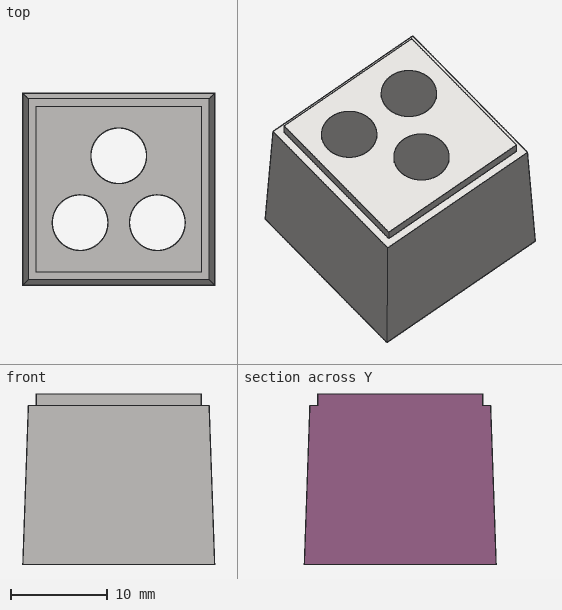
import cadquery as cq
import math

base_side = 19.9
body_height = 16.5
draft_angle = 2

step_side = 17.1
step_height = 1.2
total_height = body_height + step_height

hole_diameter = 5.74
hole_spacing = 8.0
triangle_height = hole_spacing * math.sqrt(3) / 2
hole_centres = [
    (-hole_spacing / 2, -triangle_height / 2),
    (hole_spacing / 2, -triangle_height / 2),
    (0, triangle_height / 2),
]


def tapered_body():
    """Square frustum that narrows from the base to the shoulder."""
    return cq.Workplane("XY").rect(base_side, base_side).extrude(body_height, taper=draft_angle)


def top_step():
    """Straight square block standing on the shoulder."""
    return cq.Workplane("XY").workplane(offset=body_height).rect(step_side, step_side).extrude(step_height)


def through_holes():
    """Vertical cylinders that pass through the full height."""
    return cq.Workplane("XY").pushPoints(hole_centres).circle(hole_diameter / 2).extrude(total_height)


result = tapered_body().union(top_step()).cut(through_holes())